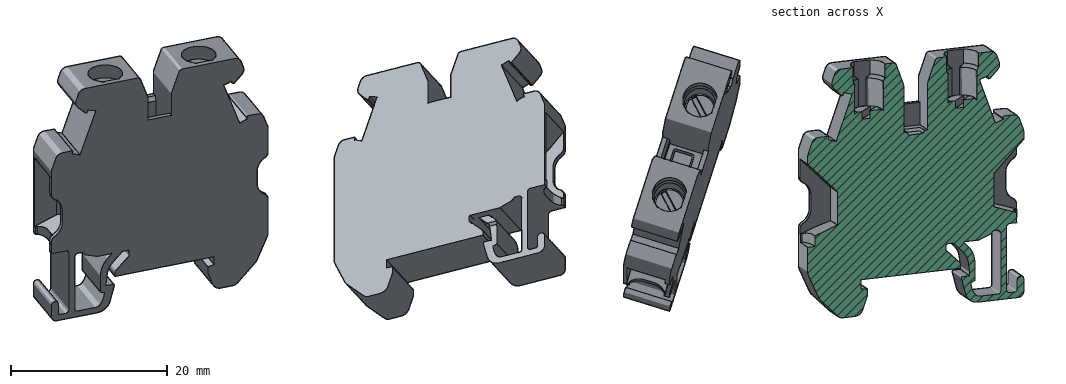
import cadquery as cq
import math

THICKNESS = 6.15
LENGTH = 29.9
HEIGHT = 33.25
HALF_LENGTH = LENGTH / 2
EDGE_RADIUS = 1.0
FLANK_SLOPE = math.tan(math.radians(20))

SLOT_HALF_WIDTH = 1.61
SLOT_FLOOR_Z = 26.78
SLOT_FLARE_Z = 30.08
SLOT_MOUTH_RADIUS = 0.5
SLOT_MOUTH_HALF_WIDTH = SLOT_HALF_WIDTH + (HEIGHT - SLOT_FLARE_Z) * FLANK_SLOPE
HEAD_TIP_Y = 11.76
HEAD_TIP_Z = 31.14
HEAD_TIP_RADIUS = 1.0
HEAD_TOP_Y = HEAD_TIP_Y - (HEIGHT - HEAD_TIP_Z) * FLANK_SLOPE
LIP_Z = 29.64
LIP_OUTER_Y = HEAD_TIP_Y - (HEAD_TIP_Z - LIP_Z)
LIP_INNER_Y = 10.03
LIP_ROOT = (9.89, 30.0)
NECK_TOP = (8.83, LIP_Z)
NECK_FOOT_Z = 23.66
NECK_FOOT_Y = NECK_TOP[0] + (LIP_Z - NECK_FOOT_Z) * FLANK_SLOPE
SHOULDER_NOTCH = (12.07, 24.05)
SHOULDER_Z = 24.48
SHOULDER_INNER_Y = 11.92
SHOULDER_LIP_RADIUS = 0.15
SHOULDER_LOW_Z = 22.2
SHOULDER_OUTER_Y = HALF_LENGTH - (SHOULDER_Z - SHOULDER_LOW_Z) * FLANK_SLOPE

RAIL_FACE_Z = 4.8
FOOT_INNER_Y = 7.49
FOOT_TOOTH_Y = 6.63
FOOT_TOOTH_TOP_Z = 3.48
FOOT_TOOTH_LOW_Z = 2.6
FOOT_TOOTH_ROOT_Z = 3.65
FOOT_BOTTOM_INNER_Y = FOOT_TOOTH_Y + FOOT_TOOTH_LOW_Z * FLANK_SLOPE
FOOT_TOE_RADIUS = 1.2
FOOT_BOTTOM_OUTER_Y = 10.45
FOOT_KNEE_Z = 2.9
FOOT_KNEE_Y = FOOT_BOTTOM_OUTER_Y + FOOT_KNEE_Z
FOOT_SIDE_TOP_Z = 6.48

BODY_LOW_Z = 10.0
CLIP_FLOOR = 0.84
ROOF_Z = 8.26
WALL_OUTER_Y = -12.55
WALL_INNER_Y = -11.71
HOOK_INNER_Y = -13.97
HOOK_TOP_Z = 2.88
HOOK_TIP_RADIUS = 0.45
HOOK_HEEL_RADIUS = 0.8
CLIP_RADIUS = 0.45
POCKET_RADIUS = 0.3
RAIL_END_Y = -6.19
RAIL_END = (RAIL_END_Y, 5.53, 0.4)
GAP_Y = -4.22
GAP_LOW = (GAP_Y, 7.46, 0.2)
GAP_ROOF_RADIUS = 0.25
ARM_ROOT_OUTER_Y = -5.16
ARM_ROOT_INNER_Y = -6.6
ARM_BEND_OUTER_Z = 6.31
ARM_BEND_OUTER_Y = -7.12
ARM_BEND_INNER_Z = 6.68
ARM_LEAN_START_Z = 4.22
TOOTH_TOP_Z = 3.72
TOOTH_TIP_Y = -6.2
TOOTH_TIP_RADIUS = 0.2
TOE_Y = -7.2
TOE_RADIUS = 1.85
STEP_Z = 2.95
STEP_EDGE = (-7.62, 2.72, 0.15)
TOE_HOLLOW = (-7.82, 1.75, 2.5)
TOE_FLOOR_Y = -8.4
TOE_FLOOR_RADIUS = 0.9
VAULT_Z = 9.29
VAULT_Y = -10.7
VAULT_KNEE = (-10.35, 8.88, POCKET_RADIUS)
VAULT_FOOT_Y = -8.64
ARM_INNER_Y = -8.2
ARM_OUTER_Y = -7.39
ARM_INNER_RADIUS = 3.3
ARM_OUTER_RADIUS = 2.4

SETBACK = 1.0
SETBACK_START_Z = 5.88
SETBACK_FULL_Z = 7.1
SETBACK_INNER_Y = -8.5
SETBACK_LOW_Y = -6.6
SETBACK_HIGH_Y = -4.4

WELL_Y = 6.45
WELL_X = 3.49
WELL_RADIUS = 2.2
WELL_FLAT_X = 5.4
WELL_STEP_DEPTH = 1.88
SCREW_RADIUS = 1.98
SCREW_CHAMFER = 0.2
CONE_HALF_ANGLE = 24
CONE_HEIGHT = (WELL_RADIUS - SCREW_RADIUS) / math.tan(math.radians(CONE_HALF_ANGLE))
SCREW_DEPTH = 6.0
DRIVER_SLOT_WIDTH = 0.7
DRIVER_SLOT_DEPTH = 1.0
DRIVER_SLOT_ANGLE = -45

CHAMBER_DEPTH = 3.0
CHAMBER_MOUTH_X_MIN = 0.63
CHAMBER_X_MIN = 0.97
CHAMBER_X_MAX = 5.53
LEAD_IN_ANGLE = 60
LEAD_IN_SLOPE = math.tan(math.radians(LEAD_IN_ANGLE))
CHAMBER_LEAD_IN_HEIGHT = (CHAMBER_X_MIN - CHAMBER_MOUTH_X_MIN) * LEAD_IN_SLOPE
SOCKET_X = 3.05
SOCKET_LENGTH_X = 2.78
SOCKET_WIDTH_Y = 2.4
SOCKET_RADIUS = 0.4
SOCKET_INSET = 0.22
SOCKET_DEPTH = SOCKET_INSET * LEAD_IN_SLOPE
SOCKET_TAPER = 90 - LEAD_IN_ANGLE

ENTRY_DEPTH = 4.1
ENTRY_X_MIN = 0.46
ENTRY_X_MAX = 5.58
ENTRY_BACK_X_MIN = 1.1
ENTRY_BACK_X_MAX = 5.25
ENTRY_LEFT_TAPER_DEPTH = 3.0
ENTRY_RIGHT_TAPER_DEPTH = 2.05
ENTRY_SILL_Z = 11.04
ENTRY_LINTEL_Z = 21.06
ENTRY_BACK_LOW_Z = 12.5
ENTRY_BACK_HIGH_Z = 16.94
SCALLOP_X_MIN = 0.75
SCALLOP_X_MAX = 5.45
SCALLOP_FLAT_X_MIN = 2.44
SCALLOP_FLAT_X_MAX = 3.74
SCALLOP_DEPTH = 1.0
SCALLOP_SIDE_DEPTH = 0.25
NOTCH_DEPTH = 1.5
NOTCH_MID_Z = 15.15
NOTCH_FLAT_HALF = 0.96
NOTCH_MOUTH_HALF = 3.47
NOTCH_BEND_DEPTH = 0.47
NOTCH_BEND_HALF = 2.67


def rounded_outline(plane, corners):
    """Closed outline through (u, v, radius) corners; a zero radius leaves the corner sharp."""
    path = None
    count = len(corners)
    for i in range(count):
        u, v, radius = corners[i]
        before = corners[i - 1]
        after = corners[(i + 1) % count]
        corner = cq.Vector(u, v)
        to_before = (cq.Vector(before[0], before[1]) - corner).normalized()
        to_after = (cq.Vector(after[0], after[1]) - corner).normalized()
        half_angle = to_before.getAngle(to_after) / 2
        setback = radius / math.tan(half_angle)
        start = corner + to_before * setback
        if path is None:
            path = cq.Workplane(plane).moveTo(start.x, start.y)
        else:
            path = path.lineTo(start.x, start.y)
        if radius > 0:
            end = corner + to_after * setback
            bisector = (to_before + to_after).normalized()
            middle = corner + bisector * (radius / math.sin(half_angle) - radius)
            path = path.threePointArc((middle.x, middle.y), (end.x, end.y))
    return path.close()


def upper_half_corners():
    """Outline corners from the slot floor out to the shoulder, for the +Y side."""
    return [
        (SLOT_HALF_WIDTH, SLOT_FLOOR_Z, 0),
        (SLOT_HALF_WIDTH, SLOT_FLARE_Z, EDGE_RADIUS),
        (SLOT_MOUTH_HALF_WIDTH, HEIGHT, SLOT_MOUTH_RADIUS),
        (HEAD_TOP_Y, HEIGHT, EDGE_RADIUS),
        (HEAD_TIP_Y, HEAD_TIP_Z, HEAD_TIP_RADIUS),
        (LIP_OUTER_Y, LIP_Z, 0),
        (LIP_INNER_Y, LIP_Z, 0),
        (LIP_ROOT[0], LIP_ROOT[1], 0),
        (NECK_TOP[0], NECK_TOP[1], 0),
        (NECK_FOOT_Y, NECK_FOOT_Z, 0),
        (SHOULDER_NOTCH[0], SHOULDER_NOTCH[1], 0),
        (SHOULDER_INNER_Y, SHOULDER_Z, SHOULDER_LIP_RADIUS),
        (SHOULDER_OUTER_Y, SHOULDER_Z, EDGE_RADIUS),
        (HALF_LENGTH, SHOULDER_LOW_Z, EDGE_RADIUS),
    ]


def rail_foot_corners():
    """Outline corners of the fixed foot, from the +Y side to the rail face."""
    return [
        (HALF_LENGTH, FOOT_SIDE_TOP_Z, EDGE_RADIUS),
        (FOOT_KNEE_Y, FOOT_KNEE_Z, EDGE_RADIUS),
        (FOOT_BOTTOM_OUTER_Y, 0, EDGE_RADIUS),
        (FOOT_BOTTOM_INNER_Y, 0, FOOT_TOE_RADIUS),
        (FOOT_TOOTH_Y, FOOT_TOOTH_LOW_Z, EDGE_RADIUS),
        (FOOT_TOOTH_Y, FOOT_TOOTH_TOP_Z, 0),
        (FOOT_INNER_Y, FOOT_TOOTH_ROOT_Z, 0),
        (FOOT_INNER_Y, RAIL_FACE_Z, 0),
    ]


def clip_corners():
    """Outline corners of the spring arm, clip and hook, from the rail face to the -Y side."""
    return [
        (RAIL_END_Y, RAIL_FACE_Z, 0),
        RAIL_END,
        GAP_LOW,
        (GAP_Y, ROOF_Z, GAP_ROOF_RADIUS),
        (ARM_ROOT_OUTER_Y, ROOF_Z, 0),
        (ARM_BEND_OUTER_Y, ARM_BEND_OUTER_Z, ARM_OUTER_RADIUS),
        (ARM_OUTER_Y, ARM_LEAN_START_Z, 0),
        (ARM_OUTER_Y, TOOTH_TOP_Z, 0),
        (TOOTH_TIP_Y, TOOTH_TOP_Z, TOOTH_TIP_RADIUS),
        (TOE_Y, 0, TOE_RADIUS),
        (-HALF_LENGTH, 0, HOOK_HEEL_RADIUS),
        (-HALF_LENGTH, HOOK_TOP_Z, HOOK_TIP_RADIUS),
        (HOOK_INNER_Y, HOOK_TOP_Z, HOOK_TIP_RADIUS),
        (HOOK_INNER_Y, CLIP_FLOOR, POCKET_RADIUS),
        (WALL_OUTER_Y, CLIP_FLOOR, CLIP_RADIUS),
        (WALL_OUTER_Y, BODY_LOW_Z, CLIP_RADIUS),
        (-HALF_LENGTH, BODY_LOW_Z, 0),
    ]


def clip_window():
    """Opening between the spring arm and the upright wall of the clip."""
    corners = [
        (ARM_INNER_Y, STEP_Z, 0),
        STEP_EDGE,
        TOE_HOLLOW,
        (TOE_FLOOR_Y, CLIP_FLOOR, TOE_FLOOR_RADIUS),
        (WALL_INNER_Y, CLIP_FLOOR, POCKET_RADIUS),
        (WALL_INNER_Y, VAULT_Z, CLIP_RADIUS),
        (VAULT_Y, VAULT_Z, POCKET_RADIUS),
        VAULT_KNEE,
        (VAULT_FOOT_Y, ROOF_Z, 0),
        (ARM_ROOT_INNER_Y, ROOF_Z, 0),
        (ARM_INNER_Y, ARM_BEND_INNER_Z, ARM_INNER_RADIUS),
    ]
    return rounded_outline("YZ", corners).extrude(THICKNESS)


def housing():
    """The flat housing: one outline across the whole thickness, with the clip window."""
    right_half = upper_half_corners()
    left_half = [(-y, z, radius) for y, z, radius in reversed(right_half)]
    corners = right_half + rail_foot_corners() + clip_corners() + left_half
    return rounded_outline("YZ", corners).extrude(THICKNESS).cut(clip_window())


def arm_setback():
    """Ramped relief that sets the upper spring arm back from the -X face."""
    ramp = (
        cq.Workplane("XZ")
        .polyline([(0, SETBACK_START_Z), (SETBACK, SETBACK_FULL_Z), (SETBACK, ROOF_Z), (0, ROOF_Z)])
        .close()
        .extrude(HALF_LENGTH)
    )
    around_arm = (
        cq.Workplane("YZ")
        .polyline([
            (SETBACK_INNER_Y, SETBACK_START_Z),
            (SETBACK_LOW_Y, SETBACK_START_Z),
            (SETBACK_HIGH_Y, ROOF_Z),
            (SETBACK_INNER_Y, ROOF_Z),
        ])
        .close()
        .extrude(SETBACK)
    )
    return ramp.intersect(around_arm)


def screw_well(y):
    """Flat-sided stepped well with a slotted screw head at the bottom."""
    head_z = HEIGHT - SCREW_DEPTH
    cone_top_z = HEIGHT - WELL_STEP_DEPTH
    cone_low_z = cone_top_z - CONE_HEIGHT
    well = (
        cq.Workplane("XZ")
        .moveTo(0, head_z)
        .lineTo(SCREW_RADIUS - SCREW_CHAMFER, head_z)
        .lineTo(SCREW_RADIUS, head_z - SCREW_CHAMFER)
        .lineTo(SCREW_RADIUS, cone_low_z)
        .lineTo(WELL_RADIUS, cone_top_z)
        .lineTo(WELL_RADIUS, HEIGHT)
        .lineTo(0, HEIGHT)
        .close()
        .revolve(360, (0, 0), (0, 1))
        .translate((WELL_X, y, 0))
    )
    inside_flat = (
        cq.Workplane("XY", origin=(0, y, 0))
        .rect(2 * WELL_FLAT_X, LENGTH)
        .extrude(HEIGHT)
    )
    driver_slot = (
        cq.Workplane("XY", origin=(WELL_X, y, head_z - DRIVER_SLOT_DEPTH))
        .transformed(rotate=(0, 0, DRIVER_SLOT_ANGLE))
        .rect(2 * SCREW_RADIUS, DRIVER_SLOT_WIDTH)
        .extrude(DRIVER_SLOT_DEPTH)
    )
    head_top = (
        cq.Workplane("XY", origin=(WELL_X, y, 0))
        .circle(SCREW_RADIUS - SCREW_CHAMFER)
        .extrude(HEIGHT)
    )
    return well.intersect(inside_flat).union(driver_slot.intersect(head_top))


def bridge_chamber():
    """Chamber below the middle slot: a lead-in on its -X edge and a tapered socket in its floor."""
    floor_z = SLOT_FLOOR_Z - CHAMBER_DEPTH
    chamber = (
        cq.Workplane("XZ", origin=(0, SLOT_HALF_WIDTH, 0))
        .polyline([
            (CHAMBER_MOUTH_X_MIN, SLOT_FLOOR_Z),
            (CHAMBER_X_MIN, SLOT_FLOOR_Z - CHAMBER_LEAD_IN_HEIGHT),
            (CHAMBER_X_MIN, floor_z),
            (CHAMBER_X_MAX, floor_z),
            (CHAMBER_X_MAX, SLOT_FLOOR_Z),
        ])
        .close()
        .extrude(2 * SLOT_HALF_WIDTH)
    )
    socket = (
        cq.Workplane("XY", origin=(SOCKET_X, 0, floor_z))
        .sketch()
        .rect(SOCKET_LENGTH_X, SOCKET_WIDTH_Y)
        .vertices()
        .fillet(SOCKET_RADIUS)
        .finalize()
        .extrude(-SOCKET_DEPTH, taper=SOCKET_TAPER)
    )
    return chamber.union(socket)


def entry_funnel(face_y):
    """Funnel running in from the -Y face: sloped sill and lintel, tapered sides."""
    back_y = face_y + ENTRY_DEPTH
    height_profile = (
        cq.Workplane("YZ")
        .polyline([
            (face_y, ENTRY_SILL_Z),
            (back_y, ENTRY_BACK_LOW_Z),
            (back_y, ENTRY_BACK_HIGH_Z),
            (face_y, ENTRY_LINTEL_Z),
        ])
        .close()
        .extrude(THICKNESS)
    )
    width_profile = (
        cq.Workplane("XY")
        .polyline([
            (ENTRY_X_MIN, face_y),
            (ENTRY_X_MAX, face_y),
            (ENTRY_X_MAX, face_y + ENTRY_RIGHT_TAPER_DEPTH),
            (ENTRY_BACK_X_MAX, back_y),
            (ENTRY_BACK_X_MIN, back_y),
            (ENTRY_X_MIN, face_y + ENTRY_LEFT_TAPER_DEPTH),
        ])
        .close()
        .extrude(HEIGHT)
    )
    return height_profile.intersect(width_profile)


def tangent_arc_middle(start, heading, end):
    """Middle of the arc that leaves start along the heading (a unit vector) and reaches end."""
    chord = cq.Vector(end[0] - start[0], end[1] - start[1])
    along = cq.Vector(heading[0], heading[1])
    bulge = (chord.normalized() + along).normalized()
    reach = chord.Length / (2 * math.cos(bulge.getAngle(along)))
    return (start[0] + bulge.x * reach, start[1] + bulge.y * reach)


def sill_scallop(face_y):
    """Rounded bite out of the sill, from the funnel down to the underside of the body."""
    flat_left = (SCALLOP_FLAT_X_MIN, SCALLOP_DEPTH)
    flat_right = (SCALLOP_FLAT_X_MAX, SCALLOP_DEPTH)
    side_left = (SCALLOP_X_MIN, SCALLOP_SIDE_DEPTH)
    side_right = (SCALLOP_X_MAX, SCALLOP_SIDE_DEPTH)
    return (
        cq.Workplane("XY", origin=(0, face_y, BODY_LOW_Z))
        .moveTo(*flat_left)
        .lineTo(*flat_right)
        .threePointArc(tangent_arc_middle(flat_right, (1, 0), side_right), side_right)
        .lineTo(SCALLOP_X_MAX, 0)
        .lineTo(SCALLOP_X_MIN, 0)
        .lineTo(*side_left)
        .threePointArc(tangent_arc_middle(flat_left, (-1, 0), side_left), flat_left)
        .close()
        .extrude(ENTRY_BACK_LOW_Z - BODY_LOW_Z)
    )


def side_notch(face_y):
    """Curved notch in the thin +X wall beside the funnel mouth."""
    flat_high = (NOTCH_DEPTH, NOTCH_FLAT_HALF)
    flat_low = (NOTCH_DEPTH, -NOTCH_FLAT_HALF)
    bend_high = (NOTCH_BEND_DEPTH, NOTCH_BEND_HALF)
    bend_low = (NOTCH_BEND_DEPTH, -NOTCH_BEND_HALF)
    mouth_high = (0, NOTCH_MOUTH_HALF)
    mouth_low = (0, -NOTCH_MOUTH_HALF)
    up = (0, 1)
    down = (0, -1)
    return (
        cq.Workplane("YZ", origin=(ENTRY_X_MAX, face_y, NOTCH_MID_Z))
        .moveTo(*flat_high)
        .lineTo(*flat_low)
        .threePointArc(tangent_arc_middle(flat_low, down, bend_low), bend_low)
        .threePointArc(tangent_arc_middle(mouth_low, up, bend_low), mouth_low)
        .lineTo(*mouth_high)
        .threePointArc(tangent_arc_middle(mouth_high, down, bend_high), bend_high)
        .threePointArc(tangent_arc_middle(flat_high, up, bend_high), flat_high)
        .close()
        .extrude(THICKNESS - ENTRY_X_MAX)
    )


def wire_entry():
    """Complete wire entry on the -Y face."""
    face_y = -HALF_LENGTH
    return entry_funnel(face_y).union(sill_scallop(face_y)).union(side_notch(face_y))


result = housing().cut(arm_setback()).cut(bridge_chamber())
for side in (-1, 1):
    result = result.cut(screw_well(side * WELL_Y))
front_entry = wire_entry()
result = result.cut(front_entry).cut(front_entry.mirror("XZ"))